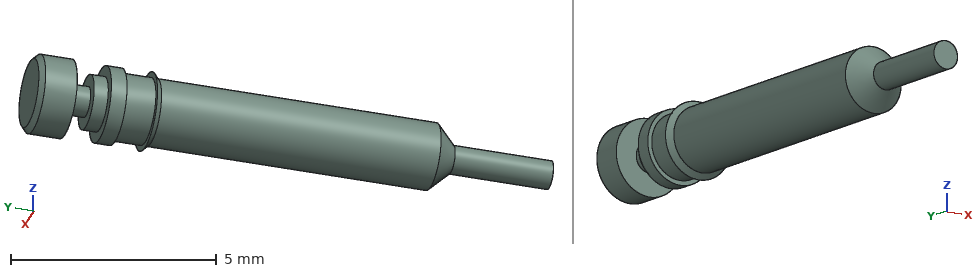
import cadquery as cq

overall_length = 13.19
head_end_y = overall_length / 2
tail_end_y = -overall_length / 2

head_diameter = 1.97
head_length = 0.94
head_chamfer = 0.13
stem_diameter = 0.77
stem_length = 0.51
probe_barrel_diameter = 1.37
barrel_protrusion = 0.35

collar_diameter = 1.91
collar_length = 0.4
tube_diameter = 1.68
barb_diameter = 1.97
barb_offset = 0.77
tail_diameter = 0.71
tail_length = 2.49
cone_length = 0.5

head_base_y = head_end_y - head_length
barrel_top_y = head_base_y - stem_length
receptacle_top_y = barrel_top_y - barrel_protrusion
collar_base_y = receptacle_top_y - collar_length
barb_edge_y = collar_base_y - barb_offset
barb_length = (barb_diameter - tube_diameter) / 2
barb_base_y = barb_edge_y - barb_length
tail_root_y = tail_end_y + tail_length
cone_top_y = tail_root_y + cone_length
bore_floor_y = cone_top_y


def cylinder(diameter, bottom_y, top_y):
    """Cylinder on the Y axis between two stations."""
    return (
        cq.Workplane("XZ", origin=(0, top_y, 0))
        .circle(diameter / 2)
        .extrude(top_y - bottom_y)
    )


def cone(top_diameter, bottom_diameter, bottom_y, top_y):
    """Truncated cone on the Y axis between two stations."""
    profile = [
        (0, bottom_y),
        (bottom_diameter / 2, bottom_y),
        (top_diameter / 2, top_y),
        (0, top_y),
    ]
    return cq.Workplane("XY").polyline(profile).close().revolve(360, (0, 0), (0, 1))


def make_probe():
    """Chamfered contact head, thin stem and the barrel that fills the receptacle bore."""
    head = cylinder(head_diameter, head_base_y, head_end_y).faces(">Y").chamfer(head_chamfer)
    stem = cylinder(stem_diameter, barrel_top_y, head_base_y)
    barrel = cylinder(probe_barrel_diameter, bore_floor_y, barrel_top_y)
    return barrel.union(stem).union(head)


def make_receptacle():
    """Tube with a stop collar, a retaining barb, a conical end and a solder tail."""
    collar = cylinder(collar_diameter, collar_base_y, receptacle_top_y)
    tube = cylinder(tube_diameter, cone_top_y, collar_base_y)
    barb = cone(barb_diameter, tube_diameter, barb_base_y, barb_edge_y)
    end_cone = cone(tube_diameter, tail_diameter, tail_root_y, cone_top_y)
    tail = cylinder(tail_diameter, tail_end_y, tail_root_y)
    bore = cylinder(probe_barrel_diameter, bore_floor_y, receptacle_top_y)
    return tube.union(collar).union(barb).union(end_cone).union(tail).cut(bore)


probe = make_probe()
receptacle = make_receptacle()

result = cq.Compound.makeCompound([probe.val(), receptacle.val()])